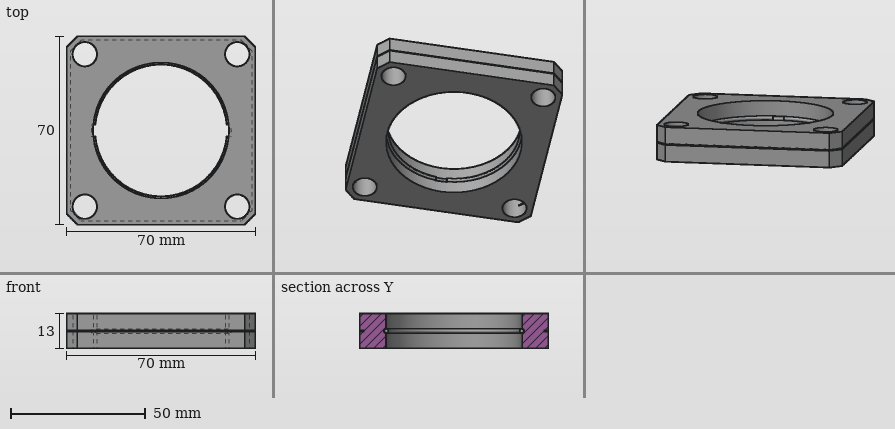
import cadquery as cq

side = 70.0
height = 13.0
corner_chamfer = 4.0

bore_radius = 25.2
bolt_hole_diameter = 8.95
bolt_spacing = 56.55

bead_radius = 0.8
bead_gap_width = 4.2

groove_width = 0.4
groove_depth = 1.4


def chamfered_plate(width, thickness, chamfer):
    """Square plate centred on the origin, with its vertical corners chamfered."""
    return cq.Workplane("XY").box(width, width, thickness).edges("|Z").chamfer(chamfer)


def make_frame():
    """Plate with the central bore and four corner bolt holes."""
    return (
        chamfered_plate(side, height, corner_chamfer)
        .faces(">Z").workplane()
        .circle(bore_radius)
        .cutThruAll()
        .faces(">Z").workplane(origin=(0, 0, height / 2))
        .rect(bolt_spacing, bolt_spacing, forConstruction=True)
        .vertices()
        .hole(bolt_hole_diameter)
    )


def make_groove():
    """Square band that, when cut away, leaves the groove around the outside."""
    core = chamfered_plate(side - 2 * groove_depth, groove_width, corner_chamfer)
    return cq.Workplane("XY").box(side, side, groove_width).cut(core)


def make_bead_ring():
    """Full ring of round section, centred on the bore wall at mid-height."""
    return cq.Workplane("XZ").center(bore_radius, 0).circle(bead_radius).revolve(
        360, (-bore_radius, 0), (-bore_radius, 1)
    )


def make_bead():
    """Bead ring with two opposite gaps, where the channel stays empty."""
    gaps = cq.Workplane("XY").box(side, bead_gap_width, 2 * bead_radius)
    return make_bead_ring().cut(gaps)


result = make_frame().cut(make_groove()).cut(make_bead_ring()).union(make_bead())